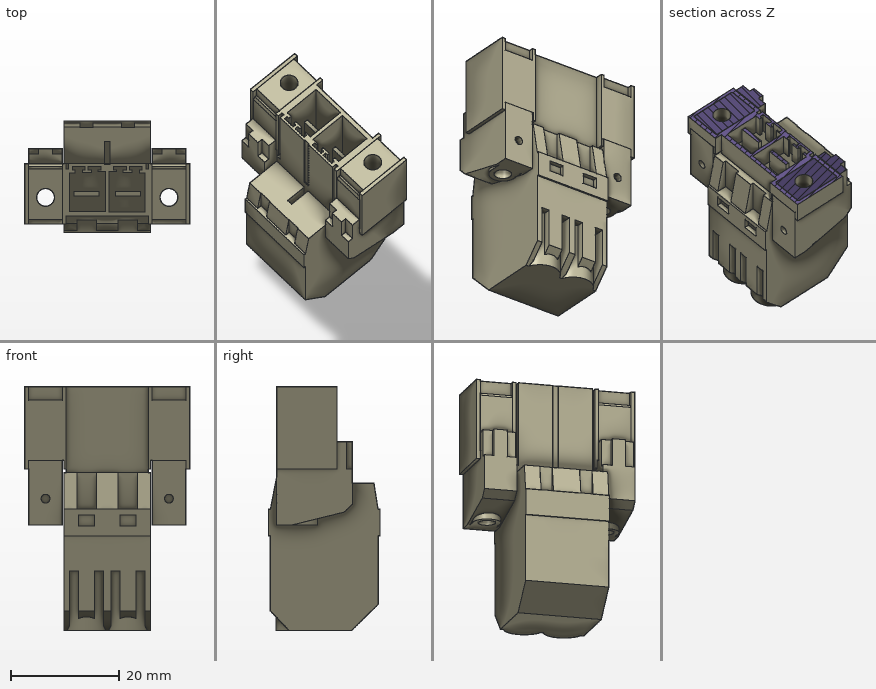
import cadquery as cq
import math

SIDES = (-1, 1)

pole_offset = 3.83

plug_half_width = 8.0
plug_half_depth = 10.0
band_half_depth = 10.3
band_bottom = 17.45
band_top = 22.4
plug_front_top = 29.15
plug_back_top = 27.25
plug_front_top_y = -8.65
plug_back_top_y = 9.2
grip_slope_half_depth = 9.95
front_chamfer_height = 3.65
front_chamfer_y = -6.5
back_chamfer_height = 4.85
back_chamfer_y = 5.05

front_grip_width = 3.6
front_grip_floor_y = -8.0
back_grip_width = 2.4
back_grip_floor_y = 9.1
window_width = 3.0
window_bottom = 19.25
window_top = 21.4
window_depth = 0.9

barrel_radius = 3.83
barrel_y = -5.1
barrel_slot_top = 11.03
barrel_slot_outer_width = 6.3
barrel_cover_width = window_width

height = 45.0
socket_half_width = 7.6
socket_front_y = -7.3
flange_back_y = 2.4
key_groove_width = 1.1
key_groove_floor_y = 2.2
key_slot_back_y = 6.53
corner_groove_width = 0.5
corner_groove_floor_y = 1.45

cell_floor = 29.8
cell_inner_x = 0.35
cell_outer_x = 6.98
cell_front_y = {-1: -6.4, 1: -6.53}
groove_back_y = 1.9
groove_neck_y = 1.25
inner_lip_y = 1.0
middle_lip_y = 0.8
outer_lip_y = 0.68
inner_groove = (1.13, 3.5)
inner_neck = (1.7, 2.93)
outer_groove = (4.1, 6.4)
outer_neck = (4.55, 5.95)

overall_width = 30.45
flange_outer_x = overall_width / 2
flange_front_y = -8.78
flange_bottom = 29.8
pocket_inner_x = 8.3
pocket_outer_x = 14.5
pocket_middle_x = (pocket_inner_x + pocket_outer_x) / 2
pocket_width = pocket_outer_x - pocket_inner_x
front_wall_inner_y = -7.88
wall_top = 42.55
back_wall_inner_y = 1.45
back_wall_ridge_y = 1.9
back_wall_outer_y = 2.3
back_wall_inner_angle = 13.0
back_wall_outer_angle = 50.0

screw_hole_radius = 1.6
screw_hole_y = -3.83
bracket_top = 31.4
bracket_bottom = 19.45
bracket_back_y = 5.18
lug_top = 34.9
lug_step_y = 4.15
lug_tongue_width = 2.5
bracket_heel_z = 23.3
bracket_slope_y = 3.7
bracket_slope_z = 21.87
bracket_toe_y = -6.1
sleeve_width = 5.18
locking_hole_radius = 0.8
locking_hole_depth = 1.35
locking_hole_z = 24.35

blade_width = 4.55
blade_thickness = 0.75
blade_y = -3.15
blade_top = 38.25


def block(x_range, y_range, z_range):
    """Box between two corner coordinates on each axis."""
    spans = [sorted(pair) for pair in (x_range, y_range, z_range)]
    size = [high - low for low, high in spans]
    low_corner = tuple(low for low, high in spans)
    return cq.Workplane("XY").box(*size, centered=False).translate(low_corner)


def centred_block(x, width, y_range, z_range):
    """Box of the given width about x."""
    return block((x - width / 2, x + width / 2), y_range, z_range)


def side_profile(points, x, width):
    """Extrude a (Y, Z) outline along X, centred on x."""
    return cq.Workplane("YZ").workplane(offset=x - width / 2).polyline(points).close().extrude(width)


def upright_cylinder(x, y, radius, bottom, top):
    return cq.Workplane("XY").workplane(offset=bottom).center(x, y).circle(radius).extrude(top - bottom)


def plug_block():
    outline = [
        (front_chamfer_y, 0),
        (back_chamfer_y, 0),
        (plug_half_depth, back_chamfer_height),
        (plug_half_depth, band_bottom),
        (band_half_depth, band_bottom),
        (band_half_depth, band_top),
        (grip_slope_half_depth, band_top),
        (plug_back_top_y, plug_back_top),
        (flange_back_y, plug_back_top),
        (flange_back_y, plug_front_top),
        (plug_front_top_y, plug_front_top),
        (-grip_slope_half_depth, band_top),
        (-band_half_depth, band_top),
        (-band_half_depth, band_bottom),
        (-plug_half_depth, band_bottom),
        (-plug_half_depth, front_chamfer_height),
    ]
    body = side_profile(outline, 0, 2 * plug_half_width)
    for side in SIDES:
        x = side * pole_offset
        front_grip = (-band_half_depth, front_grip_floor_y)
        back_grip = (back_grip_floor_y, band_half_depth)
        body = body.cut(centred_block(x, front_grip_width, front_grip, (band_top, plug_front_top)))
        body = body.cut(centred_block(x, back_grip_width, back_grip, (band_top, plug_front_top)))
        window_y = (-band_half_depth, window_depth - band_half_depth)
        body = body.cut(centred_block(x, window_width, window_y, (window_bottom, window_top)))
    return add_barrels(body)


def add_barrels(body):
    """Cut a pair of front slots per pole and stand a wire-entry barrel behind them."""
    slot_depth = (-plug_half_depth, barrel_y)
    for side in SIDES:
        x = side * pole_offset
        slots = centred_block(x, barrel_slot_outer_width, slot_depth, (0, barrel_slot_top))
        slots = slots.cut(centred_block(x, barrel_cover_width, slot_depth, (0, barrel_slot_top)))
        body = body.cut(slots)
    for side in SIDES:
        barrel = upright_cylinder(side * pole_offset, barrel_y, barrel_radius, 0, barrel_slot_top)
        body = body.union(barrel)
    return body


def socket_cell(side):
    """Cell cavity whose back edge carries two T-shaped coding grooves."""
    front_y = cell_front_y[side]
    outline = [
        (cell_inner_x, front_y),
        (cell_inner_x, inner_lip_y),
        (inner_neck[0], inner_lip_y),
        (inner_neck[0], groove_neck_y),
        (inner_groove[0], groove_neck_y),
        (inner_groove[0], groove_back_y),
        (inner_groove[1], groove_back_y),
        (inner_groove[1], groove_neck_y),
        (inner_neck[1], groove_neck_y),
        (inner_neck[1], middle_lip_y),
        (outer_neck[0], middle_lip_y),
        (outer_neck[0], groove_neck_y),
        (outer_groove[0], groove_neck_y),
        (outer_groove[0], groove_back_y),
        (outer_groove[1], groove_back_y),
        (outer_groove[1], groove_neck_y),
        (outer_neck[1], groove_neck_y),
        (outer_neck[1], outer_lip_y),
        (cell_outer_x, outer_lip_y),
        (cell_outer_x, front_y),
    ]
    points = [(side * x, y) for x, y in outline]
    cavity = cq.Workplane("XY").workplane(offset=cell_floor).polyline(points).close()
    return cavity.extrude(height - cell_floor)


def flange(side):
    """Side flange: two cheeks joined by a low wall at the front and a ridged one at the back."""
    depth = (flange_front_y, flange_back_y)
    middle_x = side * pocket_middle_x
    body = block((side * socket_half_width, side * flange_outer_x), depth, (flange_bottom, height))
    body = body.cut(centred_block(middle_x, pocket_width, depth, (flange_bottom, height)))
    body = body.cut(
        block((side * plug_half_width, side * pocket_outer_x), depth, (flange_bottom, bracket_top))
    )
    front_wall = centred_block(
        middle_x, pocket_width, (flange_front_y, front_wall_inner_y), (bracket_top, wall_top)
    )
    return body.union(front_wall).union(back_wall(middle_x))


def back_wall(middle_x):
    """Wall whose top rises to a ridge: gently on the inside, steeply on the outside."""
    inner_run = back_wall_ridge_y - back_wall_inner_y
    outer_run = back_wall_outer_y - back_wall_ridge_y
    inner_top = wall_top - inner_run * math.tan(math.radians(back_wall_inner_angle))
    outer_top = wall_top - outer_run * math.tan(math.radians(back_wall_outer_angle))
    outline = [
        (back_wall_inner_y, bracket_top),
        (back_wall_outer_y, bracket_top),
        (back_wall_outer_y, outer_top),
        (back_wall_ridge_y, wall_top),
        (back_wall_inner_y, inner_top),
    ]
    return side_profile(outline, middle_x, pocket_width)


def make_housing():
    depth = (socket_front_y, flange_back_y)
    socket = centred_block(0, 2 * socket_half_width, depth, (band_top, height))
    body = plug_block().union(socket)
    for side in SIDES:
        body = body.union(flange(side))
    for side in SIDES:
        groove_x = (side * socket_half_width, side * (socket_half_width - corner_groove_width))
        groove_y = (corner_groove_floor_y, flange_back_y)
        body = body.cut(block(groove_x, groove_y, (plug_front_top, height)))
        body = body.cut(socket_cell(side))

    key_groove = centred_block(
        0, key_groove_width, (key_groove_floor_y, flange_back_y), (plug_front_top, height)
    )
    key_slot = centred_block(
        0, key_groove_width, (flange_back_y, key_slot_back_y), (band_top, plug_back_top)
    )
    return body.cut(key_groove).cut(key_slot)


def make_bracket(side):
    """Bracket whose insert fills the flange from below, with a stepped lug behind it."""
    middle_x = side * pocket_middle_x
    outline = [
        (flange_front_y, bracket_bottom),
        (bracket_toe_y, bracket_bottom),
        (bracket_slope_y, bracket_slope_z),
        (bracket_back_y, bracket_heel_z),
        (bracket_back_y, lug_top),
        (flange_back_y, lug_top),
        (flange_back_y, bracket_top),
        (back_wall_inner_y, bracket_top),
        (back_wall_inner_y, height),
        (front_wall_inner_y, height),
        (front_wall_inner_y, bracket_top),
        (flange_front_y, bracket_top),
    ]
    body = side_profile(outline, middle_x, pocket_width)

    sleeve = upright_cylinder(middle_x, screw_hole_y, sleeve_width / 2, bracket_bottom, bracket_top)
    sleeve_sides = centred_block(
        middle_x, sleeve_width, (flange_front_y, screw_hole_y), (bracket_bottom, bracket_top)
    )
    body = body.union(sleeve).union(sleeve_sides)

    corners = centred_block(
        middle_x, pocket_width, (lug_step_y, bracket_back_y), (flange_bottom, lug_top)
    )
    tongue = centred_block(
        middle_x, lug_tongue_width, (lug_step_y, bracket_back_y), (flange_bottom, lug_top)
    )
    body = body.cut(corners.cut(tongue))

    screw_hole = upright_cylinder(middle_x, screw_hole_y, screw_hole_radius, bracket_bottom, height)
    locking_hole = (
        cq.Workplane("XZ", origin=(middle_x, flange_front_y, locking_hole_z))
        .circle(locking_hole_radius)
        .extrude(-locking_hole_depth)
    )
    return body.cut(screw_hole).cut(locking_hole)


def make_blade(side):
    depth = (blade_y - blade_thickness / 2, blade_y + blade_thickness / 2)
    return centred_block(side * pole_offset, blade_width, depth, (cell_floor, blade_top))


housing = make_housing()
brackets = [make_bracket(side).val() for side in SIDES]
blades = [make_blade(side).val() for side in SIDES]

result = cq.Compound.makeCompound([housing.val(), *brackets, *blades])